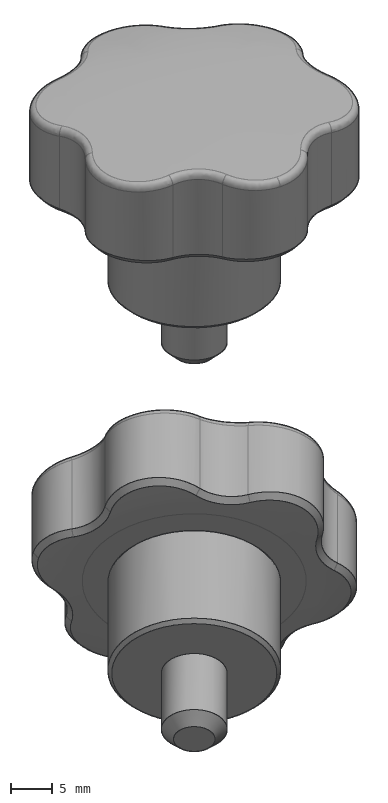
import cadquery as cq
import math

LOBE_COUNT = 6
HEAD_RADIUS = 20.0
LOBE_RADIUS = 7.0
VALLEY_RADIUS = 6.0
LOBE_CENTRE = HEAD_RADIUS - LOBE_RADIUS
HEAD_BOTTOM = 24.0
TOTAL_HEIGHT = 38.0
BLANK_MARGIN = 0.4
TOP_DOME_RADIUS = 88.0
UNDERSIDE_FLAT_RADIUS = 13.6
UNDERSIDE_RISE = 0.6
RIM_SEARCH_RADIUS = 16.0
TOP_FILLET = 1.0
BOTTOM_CHAMFER = 0.7

COLLAR_RADIUS = 21.0 / 2
COLLAR_BOTTOM = 10.0
COLLAR_BOTTOM_CHAMFER = 0.5
COLLAR_TOP_CHAMFER = 0.25
PIN_RADIUS = 8.0 / 2
PIN_CHAMFER = 1.5


def polar(radius, angle):
    return radius * math.cos(angle), radius * math.sin(angle)


def lobed_prism():
    """Straight-walled outline of convex lobes joined by tangent concave valleys."""
    half_pitch = math.pi / LOBE_COUNT
    centre_gap = LOBE_RADIUS + VALLEY_RADIUS
    half_chord = LOBE_CENTRE * math.sin(half_pitch)
    valley_centre = LOBE_CENTRE * math.cos(half_pitch) + math.sqrt(centre_gap**2 - half_chord**2)
    tangent_angle = math.atan2(valley_centre * math.sin(half_pitch),
                               valley_centre * math.cos(half_pitch) - LOBE_CENTRE)
    tangent_x = LOBE_CENTRE + LOBE_RADIUS * math.cos(tangent_angle)
    tangent_y = LOBE_RADIUS * math.sin(tangent_angle)
    tangent_radius = math.hypot(tangent_x, tangent_y)
    tangent_bearing = math.atan2(tangent_y, tangent_x)

    outline = cq.Workplane("XY").workplane(offset=HEAD_BOTTOM).moveTo(tangent_x, -tangent_y)
    for lobe in range(LOBE_COUNT):
        bearing = 2 * half_pitch * lobe
        outline = outline.threePointArc(
            polar(HEAD_RADIUS, bearing),
            polar(tangent_radius, bearing + tangent_bearing),
        )
        outline = outline.threePointArc(
            polar(valley_centre - VALLEY_RADIUS, bearing + half_pitch),
            polar(tangent_radius, bearing + 2 * half_pitch - tangent_bearing),
        )
    return outline.close().extrude(TOTAL_HEIGHT - HEAD_BOTTOM)


def domed_disc():
    """Round blank with a spherical top and an underside that curves up to its rim."""
    def dome_height(radius):
        drop = TOP_DOME_RADIUS - math.sqrt(TOP_DOME_RADIUS**2 - radius**2)
        return TOTAL_HEIGHT - drop

    rim = HEAD_RADIUS + BLANK_MARGIN
    run = rim - UNDERSIDE_FLAT_RADIUS
    return (
        cq.Workplane("XZ")
        .moveTo(0, HEAD_BOTTOM)
        .lineTo(UNDERSIDE_FLAT_RADIUS, HEAD_BOTTOM)
        .tangentArcPoint((run, UNDERSIDE_RISE))
        .lineTo(rim, dome_height(rim))
        .threePointArc((rim / 2, dome_height(rim / 2)), (0, TOTAL_HEIGHT))
        .close()
        .revolve(360, (0, 0), (0, 1))
    )


def head():
    """Domed head with its top rim rounded and its bottom rim chamfered."""
    mid_height = (HEAD_BOTTOM + TOTAL_HEIGHT) / 2
    body = lobed_prism().intersect(domed_disc())
    rim_edges = body.edges("not |Z").filter(is_rim_edge)
    top_rim = rim_edges.filter(lambda edge: edge.Center().z > mid_height)
    body = top_rim.fillet(TOP_FILLET)
    rim_edges = body.edges("not |Z").filter(is_rim_edge)
    bottom_rim = rim_edges.filter(lambda edge: edge.Center().z < mid_height)
    return bottom_rim.chamfer(BOTTOM_CHAMFER)


def is_rim_edge(edge):
    """True for edges of the lobed outline, which stay outside the search radius."""
    ends_and_middle = [edge.positionAt(step) for step in (0, 0.5, 1)]
    return all(math.hypot(point.x, point.y) > RIM_SEARCH_RADIUS for point in ends_and_middle)


def collar():
    body = cq.Workplane("XY").workplane(offset=COLLAR_BOTTOM)
    body = body.circle(COLLAR_RADIUS).extrude(HEAD_BOTTOM - COLLAR_BOTTOM)
    body = body.faces("<Z").edges().chamfer(COLLAR_BOTTOM_CHAMFER)
    return body.faces(">Z").edges().chamfer(COLLAR_TOP_CHAMFER)


def pin():
    body = cq.Workplane("XY").circle(PIN_RADIUS).extrude(COLLAR_BOTTOM)
    return body.faces("<Z").edges().chamfer(PIN_CHAMFER)


result = head().union(collar()).union(pin())